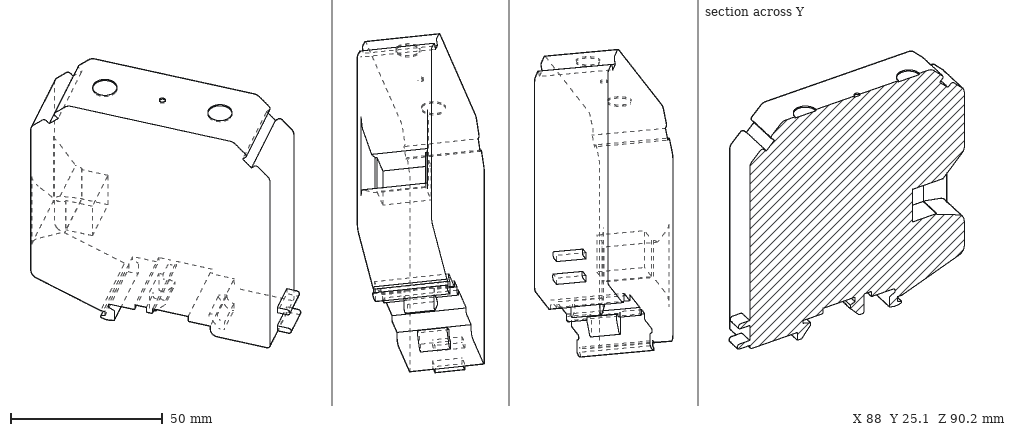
import cadquery as cq
import math

width = 83.2
thickness = 25.05
height = 90.2
mid_x = width / 2
mid_y = thickness / 2
embed = 2.0

shoulder = 12.8
shoulder_radius = 3.0
lip_radius = 1.0
lower_lip_x = 4.8
upper_lip_x = 7.85
groove_leg = 1.65

step_z = 7.1
channel_z = 9.2
base_z = 3.1
slope_start_z = 12.25
slope_start_radius = 3.3
slope_end_x = 24.3
foot_neck_x = 25.8
foot_neck_z = 3.4
foot_tip_x = 24.3
foot_tip_low_z = 0.45
foot_tip_high_z = 1.2
foot_toe_z = 1.65
foot_right_x = 29.15
foot_notch_x = 27.0
foot_notch_z = 5.75
foot_shoulder_z = 4.7
foot_heel_z = 0.4
foot_sole_left_x = 26.0
foot_sole_right_x = 27.3
foot_sole_radius = 1.0
channel_left_x = 36.2
channel_right_x = 54.7
tab_left_x = 40.2
tab_right_x = 42.4
base_left_x = 62.4
base_left_radius = 2.6
base_right_radius = 1.2
corner_radius = 0.5
foot_tip_radius = 0.3

clip_width = 10.0
hook_left_x = 38.75
hook_point_x = 40.8
hook_right_x = 44.3
hook_bottom_z = 1.5
hook_nose_low_z = 5.4
hook_nose_high_z = 6.9
hook_top_z = 7.5
hook_point_radius = 0.9
latch_left_x = 59.5
latch_top_x = 62.1
latch_foot_x = 63.0
latch_right_x = 64.8
latch_nose_low_z = 4.3
latch_nose_high_z = 5.35
latch_top_z = 6.1
latch_radius = 0.3
pin_width = 10.0
pin_height = 2.2
pin_radius = 1.0
pins = [(13.7, 4.4), (5.7, 4.85)]

mouth_width = 22.3
mouth_straight = 2.1
ledge_x = 10.8
ledge_width = 17.5
ledge_z = 31.2
floor_start_z = 27.0
ceiling_start_z = 53.0
entry_top_z = 44.4
ceiling_end_x = 8.3
floor_radius = 3.7
ceiling_radius = 3.0
bore_width = 16.3
bore_floor_z = 31.5
bore_end_x = 20.0

screw_diameter = 8.0
screw_offset = 20.0
indicator_diameter = 2.0
recess_depth = 0.5


def rounded_outline(plane, corners):
    """Closed outline from (u, v, radius) corners; radius 0 keeps a corner sharp."""
    path = []
    count = len(corners)
    for i in range(count):
        u, v, radius = corners[i]
        here = cq.Vector(u, v)
        if radius == 0:
            path.append((here, None, here))
            continue
        to_previous = (cq.Vector(*corners[i - 1][:2]) - here).normalized()
        to_next = (cq.Vector(*corners[(i + 1) % count][:2]) - here).normalized()
        half_angle = to_previous.getAngle(to_next) / 2
        setback = radius / math.tan(half_angle)
        bisector = (to_previous + to_next).normalized()
        middle = here + bisector * (radius / math.sin(half_angle) - radius)
        path.append((here + to_previous * setback, middle, here + to_next * setback))

    outline = cq.Workplane(plane).moveTo(path[0][2].x, path[0][2].y)
    for start, middle, end in path[1:] + path[:1]:
        outline = outline.lineTo(start.x, start.y)
        if middle is not None:
            outline = outline.threePointArc((middle.x, middle.y), (end.x, end.y))
    return outline.close()


def extrude_in_y(corners, depth):
    """Extrude an X-Z outline by depth, centred on the middle of the thickness."""
    solid = rounded_outline("XZ", corners).extrude(depth / 2, both=True)
    return solid.translate((0, mid_y, 0))


def shoulder_corners():
    """Left shoulder from the side wall up to the top face."""
    slope_z = height - shoulder
    return [
        (0, slope_z, shoulder_radius),
        (lower_lip_x, slope_z + lower_lip_x, lip_radius),
        (lower_lip_x + groove_leg, slope_z + lower_lip_x - groove_leg, 0),
        (upper_lip_x + groove_leg, slope_z + upper_lip_x - groove_leg, 0),
        (upper_lip_x, slope_z + upper_lip_x, lip_radius),
        (shoulder, height, shoulder_radius),
    ]


def underside_corners():
    """Underside from the right wall back to the left wall."""
    return [
        (width, base_z, base_right_radius),
        (base_left_x, base_z, base_left_radius),
        (base_left_x, step_z, 0),
        (channel_right_x, step_z, corner_radius),
        (channel_right_x, channel_z, 0),
        (tab_right_x, channel_z, 0),
        (tab_right_x, step_z, corner_radius),
        (tab_left_x, step_z, corner_radius),
        (tab_left_x, channel_z, 0),
        (channel_left_x, channel_z, 0),
        (channel_left_x, step_z, corner_radius),
        (foot_notch_x, step_z, corner_radius),
        (foot_notch_x, foot_notch_z, corner_radius),
        (foot_right_x, foot_shoulder_z, corner_radius),
        (foot_right_x, foot_heel_z, corner_radius),
        (foot_sole_right_x, 0, foot_sole_radius),
        (foot_sole_left_x, 0, foot_sole_radius),
        (foot_tip_x, foot_tip_low_z, foot_tip_radius),
        (foot_tip_x, foot_tip_high_z, foot_tip_radius),
        (foot_neck_x, foot_toe_z, 0),
        (foot_neck_x, foot_neck_z, 0),
        (slope_end_x, foot_neck_z, 0),
        (0, slope_start_z, slope_start_radius),
    ]


def housing():
    left = shoulder_corners()
    right = [(width - x, z, radius) for x, z, radius in reversed(left)]
    return extrude_in_y(left + right + underside_corners(), thickness)


def clips():
    hook = [
        (hook_left_x, channel_z + embed, 0),
        (hook_left_x, hook_bottom_z, hook_point_radius),
        (hook_point_x, hook_bottom_z, hook_point_radius),
        (hook_right_x, hook_nose_low_z, corner_radius),
        (hook_right_x, hook_nose_high_z, 0),
        (tab_right_x, hook_top_z, 0),
        (tab_right_x, channel_z + embed, 0),
    ]
    latch = [
        (latch_right_x, 0, latch_radius),
        (latch_foot_x, 0, latch_radius),
        (latch_left_x, latch_nose_low_z, latch_radius),
        (latch_left_x, latch_nose_high_z, latch_radius),
        (latch_top_x, latch_top_z, 0),
        (latch_right_x, latch_top_z, 0),
    ]
    return extrude_in_y(hook, clip_width).union(extrude_in_y(latch, clip_width))


def pin(center_z, length):
    low = center_z - pin_height / 2
    high = center_z + pin_height / 2
    corners = [
        (width - embed, low, 0),
        (width + length, low, pin_radius),
        (width + length, high, pin_radius),
        (width - embed, high, 0),
    ]
    return extrude_in_y(corners, pin_width)


def wire_entry():
    below_mouth = floor_start_z - 2 * floor_radius
    above_mouth = ceiling_start_z + 2 * ceiling_radius
    side_profile = [
        (0, below_mouth, 0),
        (0, floor_start_z, floor_radius),
        (ledge_x, ledge_z, 0),
        (ledge_x, entry_top_z, 0),
        (ceiling_end_x, entry_top_z, 0),
        (0, ceiling_start_z, ceiling_radius),
        (0, above_mouth, 0),
        (-embed, above_mouth, 0),
        (-embed, below_mouth, 0),
    ]
    side_cut = extrude_in_y(side_profile, mouth_width)

    half_mouth = mouth_width / 2
    half_ledge = ledge_width / 2
    plan = [
        (-embed, mid_y - half_mouth),
        (mouth_straight, mid_y - half_mouth),
        (ledge_x, mid_y - half_ledge),
        (ledge_x, mid_y + half_ledge),
        (mouth_straight, mid_y + half_mouth),
        (-embed, mid_y + half_mouth),
    ]
    funnel = side_cut.intersect(cq.Workplane("XY").polyline(plan).close().extrude(height))

    bore_length = bore_end_x - ceiling_end_x
    bore_height = entry_top_z - bore_floor_z
    bore = (
        cq.Workplane("XY")
        .box(bore_length, bore_width, bore_height, centered=(False, True, False))
        .translate((ceiling_end_x, mid_y, bore_floor_z))
    )
    return funnel.union(bore)


def top_recess(x, diameter):
    return (
        cq.Workplane("XY")
        .circle(diameter / 2)
        .extrude(recess_depth)
        .translate((x, mid_y, height - recess_depth))
    )


result = housing().union(clips())
for center_z, length in pins:
    result = result.union(pin(center_z, length))
result = result.cut(wire_entry())
for x in (mid_x - screw_offset, mid_x + screw_offset):
    result = result.cut(top_recess(x, screw_diameter))
result = result.cut(top_recess(mid_x, indicator_diameter))